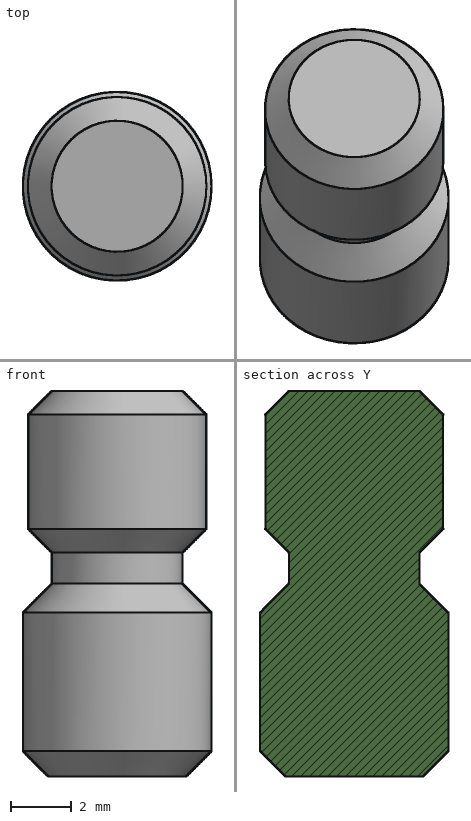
import cadquery as cq

total_length = 12.7
body_diameter = 6.22
head_diameter = 5.88
neck_diameter = 4.32
bottom_chamfer = 0.84
neck_bottom = 6.35
neck_length = 1.03

body_radius = body_diameter / 2
head_radius = head_diameter / 2
neck_radius = neck_diameter / 2
shoulder_height = body_radius - neck_radius
head_chamfer = head_radius - neck_radius
neck_top = neck_bottom + neck_length

half_profile = [
    (0, 0),
    (body_radius - bottom_chamfer, 0),
    (body_radius, bottom_chamfer),
    (body_radius, neck_bottom - shoulder_height),
    (neck_radius, neck_bottom),
    (neck_radius, neck_top),
    (head_radius, neck_top + head_chamfer),
    (head_radius, total_length - head_chamfer),
    (neck_radius, total_length),
    (0, total_length),
]

result = cq.Workplane("XZ").polyline(half_profile).close().revolve(360, (0, 0, 0), (0, 1, 0))